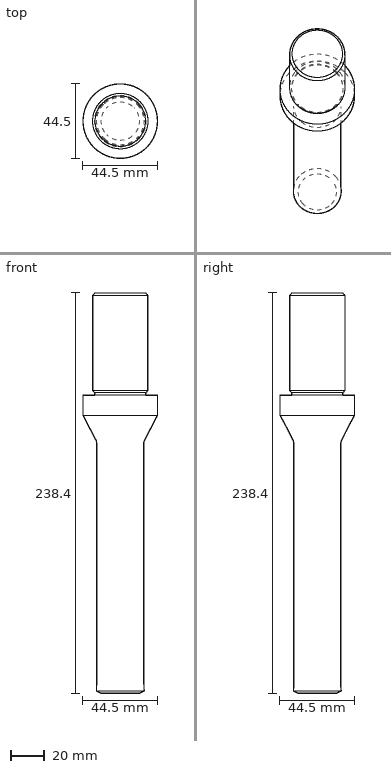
import cadquery as cq

shank_diameter = 28.2
tip_diameter = 28.6
flare_height = 4.5
tip_inset = 2.9
tip_rise = 1.5

collar_diameter = 44.45
rim_height = 12.0
cone_height = 15.6
cone_fillet = 3.175

head_diameter = 33.0
head_length = 59.4
head_top_chamfer = 1.5
head_bottom_chamfer = 1.2
neck_diameter = head_diameter - 2 * head_bottom_chamfer
neck_length = 1.5

overall_length = 238.38
bottom_z = -overall_length / 2
top_z = overall_length / 2
head_bottom_z = top_z - head_length
collar_top_z = head_bottom_z - neck_length
rim_bottom_z = collar_top_z - rim_height
cone_bottom_z = rim_bottom_z - cone_height
flare_bottom_z = bottom_z + tip_rise
flare_top_z = flare_bottom_z + flare_height


def revolve_outline(points):
    """Solid of revolution about Z from (radius, height) points."""
    return cq.Workplane("XZ").polyline(points).close().revolve(360, (0, 0), (0, 1))


def make_collared_shank():
    """Tip, shank, cone and rim turned in one piece."""
    shank_radius = shank_diameter / 2
    tip_radius = tip_diameter / 2
    collar_radius = collar_diameter / 2
    body = revolve_outline([
        (0, bottom_z),
        (tip_radius - tip_inset, bottom_z),
        (tip_radius, flare_bottom_z),
        (shank_radius, flare_top_z),
        (shank_radius, cone_bottom_z),
        (collar_radius, rim_bottom_z),
        (collar_radius, collar_top_z),
        (0, collar_top_z),
    ])
    cone_foot = cq.NearestToPointSelector((0, 0, cone_bottom_z))
    return body.edges(cone_foot).fillet(cone_fillet)


def make_post():
    """Head with both ends chamfered, and the plain neck below it."""
    head_radius = head_diameter / 2
    neck_radius = neck_diameter / 2
    return revolve_outline([
        (0, collar_top_z),
        (neck_radius, collar_top_z),
        (neck_radius, head_bottom_z),
        (head_radius, head_bottom_z + head_bottom_chamfer),
        (head_radius, top_z - head_top_chamfer),
        (head_radius - head_top_chamfer, top_z),
        (0, top_z),
    ])


collared_shank = make_collared_shank()
post = make_post()
result = cq.Compound.makeCompound([collared_shank.val(), post.val()])